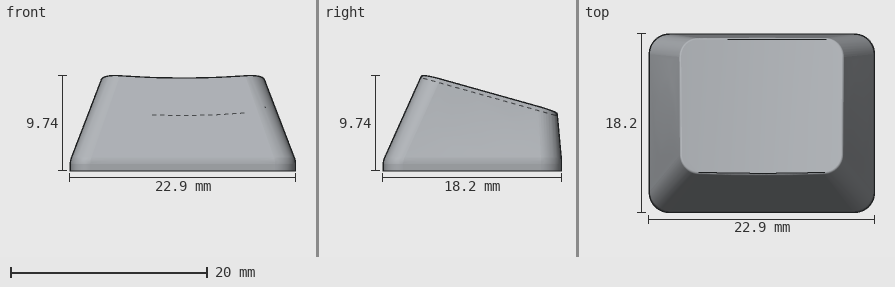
import cadquery as cq
import math

base_width = 22.92
base_depth = 18.15
base_corner = 2.06
skirt_height = 0.69
shoulder_height = 1.35
shoulder_side_inset = 0.11
shoulder_front_inset = 0.14
shoulder_back_inset = 0.02

top_tilt = 15.7
top_width = 16.36
top_front_y = -5.0
top_back_y = 8.6
top_front_z = 10.1
top_corner = 1.97

dish_radius = 80.22
dish_front_z = 9.45
rim_fillet = 0.2

tilt = math.radians(top_tilt)


def outline(plane, width, depth, corner):
    """Closed wire of a rounded rectangle centred on a plane."""
    face = cq.Sketch().rect(width, depth).vertices().fillet(corner)._faces.Faces()[0]
    return face.outerWire().moved(plane.location)


def sloped_plane(y, z):
    """Plane whose local Y runs down the slope of the top."""
    return cq.Plane(origin=(0, y, z), xDir=(1, 0, 0), normal=(0, math.sin(tilt), math.cos(tilt)))


def level_plane(y, z):
    return cq.Plane(origin=(0, y, z))


def shoulder_outline(fraction):
    """Outline part way up the shoulder; the inset grows with the square of the height."""
    inset = fraction**2
    front = inset * shoulder_front_inset
    back = inset * shoulder_back_inset
    height = skirt_height + fraction * (shoulder_height - skirt_height)
    return outline(
        level_plane((front - back) / 2, height),
        base_width - 2 * inset * shoulder_side_inset,
        base_depth - front - back,
        base_corner,
    )


def top_outline():
    """Tilted outline that the four walls rise to."""
    center_y = (top_front_y + top_back_y) / 2
    center_z = top_front_z - (center_y - top_front_y) * math.tan(tilt)
    depth = (top_back_y - top_front_y) / math.cos(tilt)
    return outline(sloped_plane(center_y, center_z), top_width, depth, top_corner)


def make_body():
    """Straight skirt, softly curved shoulder and tapered walls."""
    base = outline(level_plane(0, 0), base_width, base_depth, base_corner)
    skirt = cq.Solid.makeLoft([base, shoulder_outline(0)], True)
    shoulder = cq.Solid.makeLoft([shoulder_outline(step) for step in (0, 0.5, 1)])
    walls = cq.Solid.makeLoft([shoulder_outline(1), top_outline()], True)
    return cq.Workplane(obj=skirt).union(cq.Workplane(obj=shoulder)).union(cq.Workplane(obj=walls))


def make_dish():
    """Long cylinder that touches the middle of the top surface along the slope."""
    overrun = base_depth
    along = cq.Vector(0, math.cos(tilt), -math.sin(tilt))
    up = cq.Vector(0, math.sin(tilt), math.cos(tilt))
    axis_start = cq.Vector(0, top_front_y, dish_front_z) + up * dish_radius - along * overrun
    return cq.Workplane(obj=cq.Solid.makeCylinder(dish_radius, 2 * overrun + base_depth, axis_start, along))


body = make_body().cut(make_dish())

dished_face = max(body.faces("%CYLINDER").vals(), key=lambda face: face.Area())
result = body.newObject(dished_face.Edges()).fillet(rim_fillet)